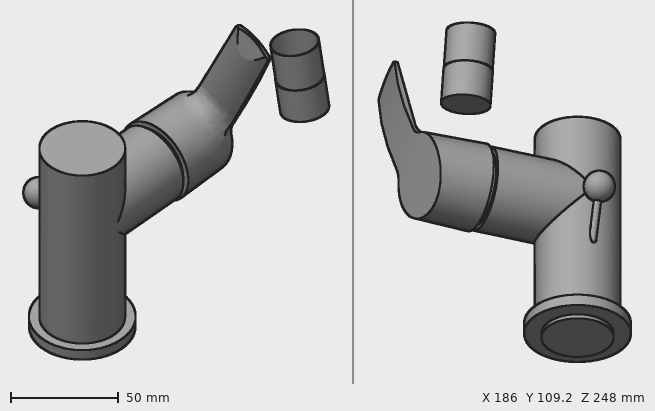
import cadquery as cq
import math

PILLAR_DIA = 40.0
PILLAR_TOP = 108.7
FOOT_DIA = 33.5
FOOT_HEIGHT = 2.2
FLANGE_DIA = 49.5
FLANGE_TOP = 8.0

BARREL_DIA = PILLAR_DIA
BARREL_Z = 70.7
BARREL_END = 47.6
NECK_DIA = 35.2
NECK_GAP = 2.5

HANDLE_TURN = 25.0
CAP_START = BARREL_END + NECK_GAP
CAP_RADIUS = 20.8
CAP_TAPER = 1.5
CAP_LENGTH = 39.7
ARM_TIP = 81.1
ARM_ROOT_HALF_WIDTH = 12.0
ARM_TIP_HALF_WIDTH = 11.2
ARM_CORNER = 78.1
TIP_CORNER_RADIUS = 2.5
OUTER_FACE_PEAK = 84.4
PEAK_ALONG_ARM = 47.1
OUTER_FACE_RADIUS = 228.2
TIP_THICKNESS = 1.5
BEVEL_START = 68.2
ARM_INNER_Y = 78.1
INNER_BLEND = 8.7
MARGIN = 2.5
ARM_CROWN_RADIUS = 24.8

KNOB_DIA = 14.6
KNOB_X = -27.3
KNOB_Z = 67.0
ROD_DIA = 3.5
ROD_LEAN = 19.0
ROD_LENGTH = 39.7

AERATOR_TOP_X = 133.7
AERATOR_TOP_Z = 246.0
AERATOR_TILT = 10.0
AERATOR_LENGTH = 36.5
AERATOR_DIA = 23.0
RIM_DIA = 22.8
BORE_DIA = 22.3
BORE_DEPTH = 19.0


def cylinder_along_y(diameter, start, end):
    """Cylinder on the barrel axis between two Y positions."""
    plane = cq.Plane(origin=(0, start, BARREL_Z), xDir=(1, 0, 0), normal=(0, 1, 0))
    return cq.Workplane(plane).circle(diameter / 2).extrude(end - start)


def outer_face_y(along_arm):
    """Y of the bowed outer handle face at a distance along the arm."""
    offset = along_arm - PEAK_ALONG_ARM
    return OUTER_FACE_PEAK - OUTER_FACE_RADIUS + math.sqrt(OUTER_FACE_RADIUS**2 - offset**2)


def make_outer_trim():
    """Block whose bowed +Y side shapes the outer face of cap and arm."""
    bottom = -CAP_RADIUS - MARGIN
    top = ARM_TIP + MARGIN
    return (
        cq.Workplane("YZ")
        .moveTo(CAP_START, bottom)
        .lineTo(outer_face_y(bottom), bottom)
        .threePointArc((OUTER_FACE_PEAK, PEAK_ALONG_ARM), (outer_face_y(top), top))
        .lineTo(CAP_START, top)
        .close()
        .extrude(CAP_RADIUS + MARGIN, both=True)
    )


def make_cap():
    """Tapered round cap, drawn about the Y axis."""
    plane = cq.Plane(origin=(0, CAP_START, 0), xDir=(1, 0, 0), normal=(0, 1, 0))
    return cq.Workplane(plane).circle(CAP_RADIUS).extrude(CAP_LENGTH, taper=CAP_TAPER)


def make_arm():
    """Arm with a crowned inner side and a bevelled, rounded tip."""
    tip_corners = cq.selectors.BoxSelector(
        (-CAP_RADIUS, CAP_START, ARM_CORNER - MARGIN), (CAP_RADIUS, OUTER_FACE_PEAK, ARM_TIP)
    )
    outline_plane = cq.Plane(origin=(0, CAP_START, 0), xDir=(-1, 0, 0), normal=(0, 1, 0))
    outline = (
        cq.Workplane(outline_plane)
        .moveTo(-ARM_ROOT_HALF_WIDTH, 0)
        .lineTo(-ARM_TIP_HALF_WIDTH, ARM_CORNER)
        .threePointArc((0, ARM_TIP), (ARM_TIP_HALF_WIDTH, ARM_CORNER))
        .lineTo(ARM_ROOT_HALF_WIDTH, 0)
        .close()
        .extrude(CAP_LENGTH)
        .edges("|Y")
        .edges(tip_corners)
        .fillet(TIP_CORNER_RADIUS)
    )
    crown = (
        cq.Workplane("XY", origin=(0, ARM_INNER_Y + ARM_CROWN_RADIUS, 0))
        .circle(ARM_CROWN_RADIUS)
        .extrude(ARM_TIP + MARGIN)
    )
    tip_bevel = (
        cq.Workplane("YZ")
        .moveTo(ARM_INNER_Y, BEVEL_START)
        .lineTo(outer_face_y(ARM_TIP) - TIP_THICKNESS, ARM_TIP)
        .lineTo(ARM_INNER_Y, ARM_TIP)
        .close()
        .extrude(CAP_RADIUS, both=True)
    )
    return outline.intersect(crown).cut(tip_bevel)


def make_handle():
    """Cap and arm blended together, trimmed and turned to the handle's place."""
    blend_zone = cq.selectors.BoxSelector(
        (-CAP_RADIUS, ARM_INNER_Y - MARGIN, CAP_RADIUS / 2),
        (CAP_RADIUS, OUTER_FACE_PEAK + MARGIN, CAP_RADIUS + MARGIN),
    )
    handle = make_cap().union(make_arm()).edges(blend_zone).fillet(INNER_BLEND)
    return (
        handle.intersect(make_outer_trim())
        .rotate((0, 0, 0), (0, 1, 0), HANDLE_TURN)
        .translate((0, 0, BARREL_Z))
    )


def make_lift_rod():
    """Leaning rod with a ball knob at its upper end."""
    lean = math.radians(ROD_LEAN)
    knob_centre = (KNOB_X, 0, KNOB_Z)
    plane = cq.Plane(
        origin=knob_centre, xDir=(0, 1, 0), normal=(math.sin(lean), 0, -math.cos(lean))
    )
    rod = cq.Workplane(plane).circle(ROD_DIA / 2).extrude(ROD_LENGTH)
    knob = cq.Workplane(plane).sphere(KNOB_DIA / 2)
    return rod.union(knob)


def make_faucet(lift_rod):
    """Foot, flange, pillar, barrel, neck and handle, with a socket for the rod."""
    foot = cq.Workplane("XY").circle(FOOT_DIA / 2).extrude(FLANGE_TOP)
    flange = (
        cq.Workplane("XY", origin=(0, 0, FOOT_HEIGHT))
        .circle(FLANGE_DIA / 2)
        .extrude(FLANGE_TOP - FOOT_HEIGHT)
    )
    pillar = (
        cq.Workplane("XY", origin=(0, 0, FOOT_HEIGHT))
        .circle(PILLAR_DIA / 2)
        .extrude(PILLAR_TOP - FOOT_HEIGHT)
    )
    barrel = cylinder_along_y(BARREL_DIA, 0, BARREL_END)
    neck = cylinder_along_y(NECK_DIA, BARREL_END, CAP_START)
    body = foot.union(flange).union(pillar).union(barrel).union(neck)
    return body.union(make_handle()).cut(lift_rod)


def make_aerator():
    """Cup with a thin rim, its axis running down and towards +X."""
    tilt = math.radians(AERATOR_TILT)
    top = cq.Plane(
        origin=(AERATOR_TOP_X, 0, AERATOR_TOP_Z),
        xDir=(0, 1, 0),
        normal=(math.sin(tilt), 0, -math.cos(tilt)),
    )
    rim = cq.Workplane(top).circle(RIM_DIA / 2).circle(BORE_DIA / 2).extrude(BORE_DEPTH)
    base = (
        cq.Workplane(top)
        .workplane(offset=BORE_DEPTH)
        .circle(AERATOR_DIA / 2)
        .extrude(AERATOR_LENGTH - BORE_DEPTH)
    )
    return base.union(rim)


lift_rod = make_lift_rod()
faucet = make_faucet(lift_rod)
aerator = make_aerator()

result = cq.Compound.makeCompound([faucet.val(), lift_rod.val(), aerator.val()])